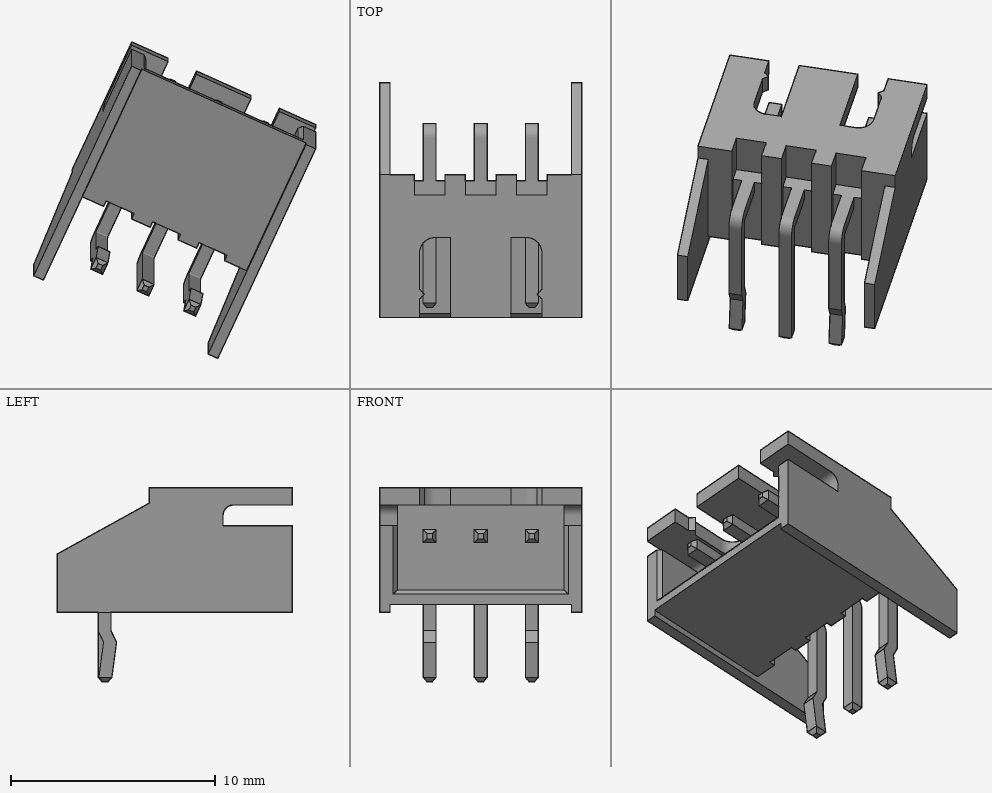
import cadquery as cq
import math


width = 9.9
height = 6.1
body_depth = 7.0
wall_depth = 11.5
foot_thickness = 0.52
floor_bottom = 0.37
roof_thickness = 0.86
roof_bottom = height - roof_thickness

tail_height = 2.85
tail_slope_top = height - 0.76

cavity_half_width = 4.08
cavity_floor = 1.09
cavity_depth = 5.1
mouth_chamfer = 0.2

side_slot_depth = 3.38
side_slot_bottom = 4.24
side_slot_radius = 0.5

key_slot_depth = 3.92
key_slot_outer = 2.99
key_slot_inner = 1.47
key_slot_radius = 0.75
bump_tip_from_front = 1.15
bump_size = 0.24

pin_count = 3
pitch = 2.5
pin_size = 0.64
pin_axis_height = 3.72
pin_top = pin_axis_height + pin_size / 2
pin_front = 0.49
pin_back = 9.5
pin_bottom = -3.4
tip_length = 0.22
tip_size = 0.26
pin_bend_radius = 0.7
inner_bend_radius = pin_bend_radius - pin_size
kink_start = -0.9
kink_peak = -1.47
kink_offset = 0.27
kink_end_offset = 0.04

notch_width = 1.5
notch_depth_upper = 1.0
notch_depth_lower = 0.3
notch_step_slope = 3

pin_positions = [(i - (pin_count - 1) / 2) * pitch for i in range(pin_count)]


def extrude_along_x(profile, x_center, x_width):
    """Extrude a closed Y-Z profile to a given width, centred on x_center."""
    return profile.extrude(x_width / 2, both=True).translate((x_center, 0, 0))


def block(x_range, y_range, z_range):
    """Box given by its limits along each axis."""
    size = [high - low for low, high in (x_range, y_range, z_range)]
    corner = (x_range[0], y_range[0], z_range[0])
    return cq.Workplane("XY").box(*size, centered=False).translate(corner)


def housing_shell():
    """Outer block with stepped, sloping side walls, open between the walls at rear and below."""
    profile = cq.Workplane("YZ").polyline([
        (0, 0),
        (wall_depth, 0),
        (wall_depth, tail_height),
        (body_depth, tail_slope_top),
        (body_depth, height),
        (0, height),
    ]).close()
    inner_half = width / 2 - foot_thickness
    inner = (-inner_half, inner_half)
    shell = extrude_along_x(profile, 0, width)
    shell = shell.cut(block(inner, (body_depth, wall_depth), (0, height)))
    return shell.cut(block(inner, (0, wall_depth), (0, floor_bottom)))


def mating_cavity():
    """Pocket from the front, with a chamfered mouth along its floor and sides."""
    pocket = block(
        (-cavity_half_width, cavity_half_width),
        (0, cavity_depth),
        (cavity_floor, roof_bottom),
    )
    mouth_half_width = cavity_half_width + mouth_chamfer
    mouth_bottom = cavity_floor - mouth_chamfer
    mouth = (
        cq.Workplane("XZ")
        .center(0, (mouth_bottom + roof_bottom) / 2)
        .rect(2 * mouth_half_width, roof_bottom - mouth_bottom)
        .workplane(offset=-mouth_chamfer)
        .center(0, mouth_chamfer / 2)
        .rect(2 * cavity_half_width, roof_bottom - cavity_floor)
        .loft(ruled=True)
    )
    return pocket.union(mouth)


def side_slots():
    """Openings through both side walls, rounded at their upper inner end."""
    arc_middle = side_slot_radius * (1 - math.sqrt(0.5))
    profile = (
        cq.Workplane("YZ")
        .moveTo(0, side_slot_bottom)
        .lineTo(side_slot_depth, side_slot_bottom)
        .lineTo(side_slot_depth, roof_bottom - side_slot_radius)
        .threePointArc(
            (side_slot_depth - arc_middle, roof_bottom - arc_middle),
            (side_slot_depth - side_slot_radius, roof_bottom),
        )
        .lineTo(0, roof_bottom)
        .close()
    )
    return extrude_along_x(profile, 0, width)


def key_slot():
    """Roof slot on the +X side, with a rounded outer corner and a pointed bump on its outer edge."""
    arc_middle = key_slot_radius * (1 - math.sqrt(0.5))
    return (
        cq.Workplane("XY", origin=(0, 0, roof_bottom))
        .moveTo(key_slot_inner, 0)
        .lineTo(key_slot_outer, 0)
        .lineTo(key_slot_outer, bump_tip_from_front - bump_size)
        .lineTo(key_slot_outer - bump_size, bump_tip_from_front)
        .lineTo(key_slot_outer, bump_tip_from_front + bump_size)
        .lineTo(key_slot_outer, key_slot_depth - key_slot_radius)
        .threePointArc(
            (key_slot_outer - arc_middle, key_slot_depth - arc_middle),
            (key_slot_outer - key_slot_radius, key_slot_depth),
        )
        .lineTo(key_slot_inner, key_slot_depth)
        .close()
        .extrude(roof_thickness)
    )


def rear_notch(x_center):
    """Notch in the rear face, deep above the pin and shallow below, with a step sloping down to the pin."""
    step_back = body_depth - notch_depth_lower
    wall_back = body_depth - notch_depth_upper
    step_rise = (step_back - wall_back) * math.tan(math.radians(notch_step_slope))
    profile = cq.Workplane("YZ").polyline([
        (body_depth, floor_bottom),
        (step_back, floor_bottom),
        (step_back, pin_top),
        (wall_back, pin_top + step_rise),
        (wall_back, height),
        (body_depth, height),
    ]).close()
    return extrude_along_x(profile, x_center, notch_width)


def pin_tip(base_center, direction):
    """Tapered square point, growing from its base along the given direction."""
    return (
        cq.Workplane(cq.Plane(base_center, (1, 0, 0), direction))
        .rect(pin_size, pin_size)
        .workplane(offset=tip_length)
        .rect(tip_size, tip_size)
        .loft(ruled=True)
    )


def pin(x_center, kinked):
    """Right-angle square pin with pointed ends; a kinked leg jogs forward to grip the board."""
    peak_shift = kink_offset if kinked else 0
    end_shift = kink_end_offset if kinked else 0
    pin_underside = pin_top - pin_size
    leg_front = pin_back - pin_size
    leg_end = pin_bottom + tip_length
    blade_end = pin_front + tip_length

    blade = block(
        (x_center - pin_size / 2, x_center + pin_size / 2),
        (blade_end, pin_back),
        (pin_underside, pin_top),
    )
    upper_leg = block(
        (x_center - pin_size / 2, x_center + pin_size / 2),
        (leg_front, pin_back),
        (kink_start, pin_top),
    )
    bent = (
        blade.union(upper_leg)
        .edges(cq.selectors.NearestToPointSelector((x_center, pin_back, pin_top)))
        .fillet(pin_bend_radius)
        .edges(cq.selectors.NearestToPointSelector((x_center, leg_front, pin_underside)))
        .fillet(inner_bend_radius)
    )
    leg_profile = cq.Workplane("YZ").polyline([
        (pin_back, kink_start),
        (pin_back - peak_shift, kink_peak),
        (pin_back - end_shift, leg_end),
        (leg_front - end_shift, leg_end),
        (leg_front - peak_shift, kink_peak),
        (leg_front, kink_start),
    ]).close()
    lower_leg = extrude_along_x(leg_profile, x_center, pin_size)

    leg_axis = pin_back - pin_size / 2 - end_shift
    front_tip = pin_tip((x_center, blade_end, pin_axis_height), (0, -1, 0))
    leg_tip = pin_tip((x_center, leg_axis, leg_end), (0, 0, -1))
    return bent.union(lower_leg).union(front_tip).union(leg_tip)


right_key_slot = key_slot()
result = (
    housing_shell()
    .cut(mating_cavity())
    .cut(side_slots())
    .cut(right_key_slot)
    .cut(right_key_slot.mirror("YZ"))
)
for x in pin_positions:
    result = result.cut(rear_notch(x))

for x in pin_positions:
    is_outermost = x in (pin_positions[0], pin_positions[-1])
    result = result.union(pin(x, is_outermost))